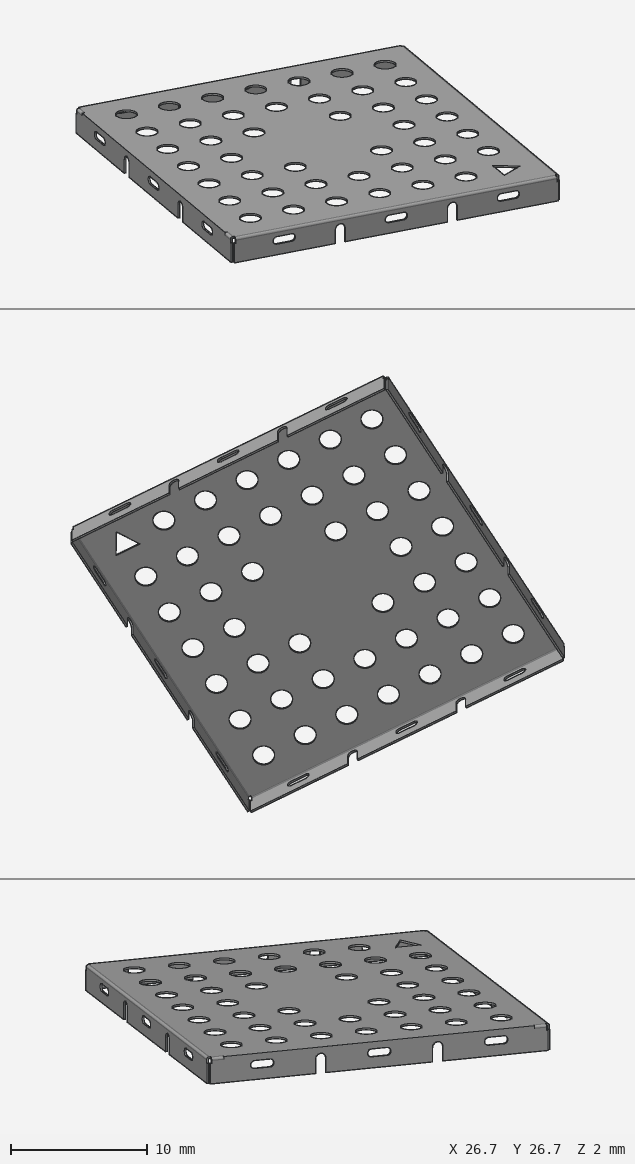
import math

import cadquery as cq

side = 26.67
height = 2.0
sheet = 0.15
bend_radius = 0.2
bend_inner_radius = bend_radius - sheet

corner_gap = 0.2
relief_size = 0.3
relief_depth = 0.45

rounded_end = 1.25

hole_diameter = 1.6
hole_pitch = 3.5
grid_reach = 3
plain_reach = 1

triangle_side = 2.0
triangle_height = triangle_side * math.sqrt(3) / 2

slot_length = 1.8
slot_width = 0.6
slot_pitch = 9.1
slot_centre_height = 1.15
notch_width = 0.8
notch_depth = 1.5
notch_offset = slot_pitch / 2

half = side / 2


def make_shell():
    outer = cq.Workplane("XY").box(side, side, height, centered=(True, True, False))
    outer = outer.faces(">Z").edges().fillet(bend_radius)
    cavity_side = side - 2 * sheet
    cavity = cq.Workplane("XY").box(cavity_side, cavity_side, height - sheet, centered=(True, True, False))
    cavity = cavity.faces(">Z").edges().fillet(bend_inner_radius)
    return outer.cut(cavity)


def make_sharp_edge():
    """Bar that squares off the middle stretch of the bend over the -Y wall."""
    length = side - 2 * rounded_end
    corner = (-length / 2, -half, height - bend_radius)
    bar = cq.Workplane("XY").box(length, bend_radius, bend_radius, centered=False).translate(corner)
    bend_round = (
        cq.Workplane("YZ")
        .center(bend_radius - half, height - bend_radius)
        .circle(bend_radius)
        .extrude(length / 2, both=True)
    )
    return bar.cut(bend_round)


def make_corner_cut(size, bottom):
    """Square posts centred on the four corners, from the given height up through the top."""
    return (
        cq.Workplane("XY", origin=(0, 0, bottom))
        .rect(side, side, forConstruction=True)
        .vertices()
        .rect(2 * size, 2 * size)
        .extrude(height - bottom)
    )


def make_vents():
    points = []
    for column in range(-grid_reach, grid_reach + 1):
        for row in range(-grid_reach, grid_reach + 1):
            in_plain_diamond = abs(column) + abs(row) <= plain_reach
            is_triangle = column == grid_reach and row == grid_reach
            if not in_plain_diamond and not is_triangle:
                points.append((column * hole_pitch, row * hole_pitch))
    return cq.Workplane("XY").pushPoints(points).circle(hole_diameter / 2).extrude(height)


def make_triangle():
    centre = grid_reach * hole_pitch
    base_y = centre - triangle_height / 2
    return (
        cq.Workplane("XY")
        .moveTo(centre - triangle_side / 2, base_y)
        .lineTo(centre + triangle_side / 2, base_y)
        .lineTo(centre, base_y + triangle_height)
        .close()
        .extrude(height)
    )


def make_wall_openings():
    """Slots and round-topped notches running through both walls that face Y."""
    slots = (
        cq.Workplane("XZ")
        .pushPoints([(step * slot_pitch, slot_centre_height) for step in (-1, 0, 1)])
        .slot2D(slot_length, slot_width)
        .extrude(half, both=True)
    )
    notches = (
        cq.Workplane("XZ")
        .pushPoints([(sign * notch_offset, 0) for sign in (-1, 1)])
        .slot2D(2 * notch_depth, notch_width, 90)
        .extrude(half, both=True)
    )
    return slots.union(notches)


body = make_shell().union(make_sharp_edge())
body = body.cut(make_corner_cut(corner_gap, 0))
body = body.cut(make_corner_cut(relief_size, height - relief_depth))
openings = make_wall_openings()
body = body.cut(openings)
body = body.cut(openings.rotate((0, 0, 0), (0, 0, 1), 90))
body = body.cut(make_vents())
result = body.cut(make_triangle())